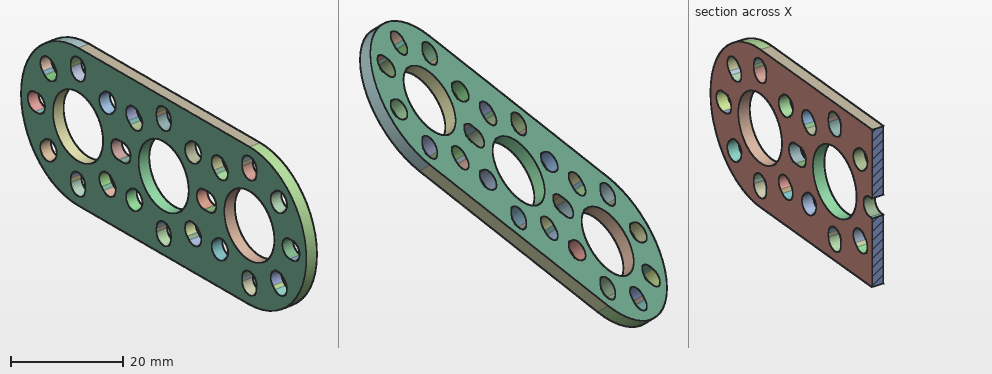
import cadquery as cq

LENGTH = 80.0
HEIGHT = 32.0
THICKNESS = 2.5

BORE_DIAMETER = 14.0
HUB_PITCH = (LENGTH - HEIGHT) / 2
HUB_CENTERS = [(-HUB_PITCH, 0), (0, 0), (HUB_PITCH, 0)]

SLOTS_PER_HUB = 8
SLOT_RING_RADIUS = 11.7
SLOT_LENGTH = 4.8
SLOT_WIDTH = 4.0


def back_face():
    """Workplane on the +Y face of the plate, with its normal toward -Y."""
    return cq.Workplane("XZ", origin=(0, THICKNESS / 2, 0))


def make_plate():
    """Flat plate with fully rounded ends, centred on the origin."""
    return back_face().slot2D(LENGTH, HEIGHT).extrude(THICKNESS)


def make_bores():
    """Cutters for the large round through holes, one at each hub."""
    return back_face().pushPoints(HUB_CENTERS).circle(BORE_DIAMETER / 2).extrude(THICKNESS)


def make_slot_ring(hub_center):
    """Cutters for the through slots around one hub, each with its long axis pointing at the hub."""
    return (
        back_face()
        .center(*hub_center)
        .polarArray(SLOT_RING_RADIUS, 0, 360, SLOTS_PER_HUB)
        .slot2D(SLOT_LENGTH, SLOT_WIDTH)
        .extrude(THICKNESS)
    )


result = make_plate().cut(make_bores())

for hub in HUB_CENTERS:
    result = result.cut(make_slot_ring(hub))